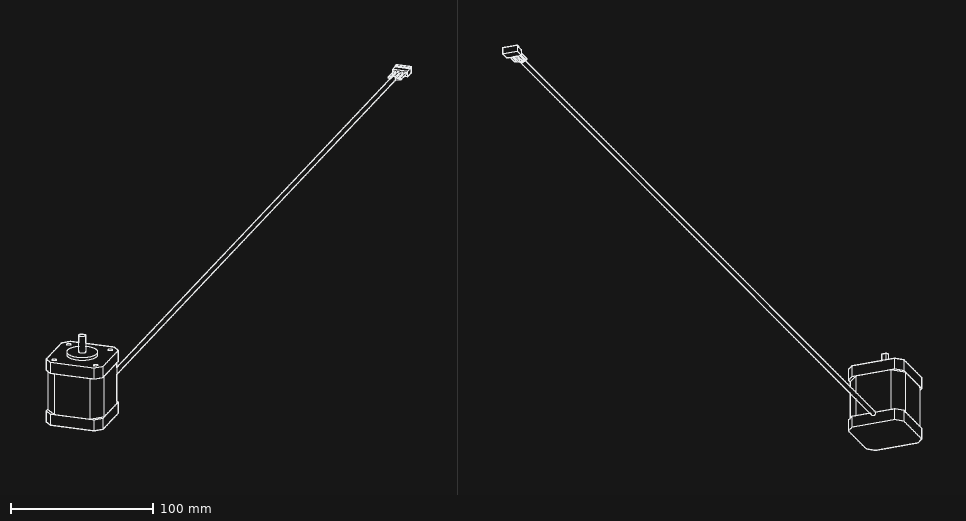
import cadquery as cq

TOTAL_LENGTH = 700.0
TOTAL_HEIGHT = 62.0

HOLE_SPACING = 31.0
HOLE_TO_SIDE = 5.75
HOLE_DIAMETER = 3.0
HOLE_DEPTH = 4.0
CAP_SIDE = HOLE_SPACING + 2 * HOLE_TO_SIDE
CAP_CHAMFER = 5.0
CAP_THICKNESS = 8.5
CORE_SIDE = 42.0
CORE_CHAMFER = 8.0
BODY_HEIGHT = 47.5
CORE_HEIGHT = BODY_HEIGHT - 2 * CAP_THICKNESS
PILOT_DIAMETER = 22.0
PILOT_HEIGHT = 2.0
PILOT_TOP = BODY_HEIGHT + PILOT_HEIGHT
SHAFT_DIAMETER = 5.0
SHAFT_FLAT_DEPTH = 0.5

PLUG_WIDTH = 11.0
PLUG_LENGTH = 8.0
PLUG_THICKNESS = 5.0
PLUG_CENTER_Z = 7.0
STEP_FROM_END = 3.0
STEP_DEPTH = 1.0
PLUG_END = TOTAL_LENGTH - CAP_SIDE / 2
PLUG_START = PLUG_END - PLUG_LENGTH

WIRE_COUNT = 4
WIRE_DIAMETER = 1.5
WIRE_PITCH = 3.0
WIRE_STRAIGHT_LENGTH = 11.0
WIRE_TAPER_LENGTH = 3.0
WIRE_OVERLAP = 1.5
BEND_Y = PLUG_START - WIRE_STRAIGHT_LENGTH

CABLE_DIAMETER = 3.5
CABLE_CENTER_Z = 8.0
CABLE_START = CAP_SIDE / 2
CABLE_END = BEND_Y - WIRE_TAPER_LENGTH


def upright_disc(diameter, bottom, top):
    """Round disc or rod on the motor axis."""
    return cq.Workplane("XY").workplane(offset=bottom).circle(diameter / 2).extrude(top - bottom)


def chamfered_block(side, chamfer, height, bottom):
    """Square block with its four upright edges chamfered."""
    block = cq.Workplane("XY").workplane(offset=bottom).rect(side, side).extrude(height)
    return block.edges("|Z").chamfer(chamfer)


def make_shaft():
    """Output shaft with a flat on its +Y side above the pilot boss."""
    shaft = upright_disc(SHAFT_DIAMETER, BODY_HEIGHT, TOTAL_HEIGHT)
    flat_cutter = (
        cq.Workplane("XY")
        .workplane(offset=PILOT_TOP)
        .center(0, SHAFT_DIAMETER - SHAFT_FLAT_DEPTH)
        .rect(SHAFT_DIAMETER, SHAFT_DIAMETER)
        .extrude(TOTAL_HEIGHT - PILOT_TOP)
    )
    return shaft.cut(flat_cutter)


def make_mounting_holes():
    """Four blind holes from the top face, as a tool to cut with."""
    return (
        cq.Workplane("XY")
        .workplane(offset=BODY_HEIGHT)
        .rect(HOLE_SPACING, HOLE_SPACING, forConstruction=True)
        .vertices()
        .circle(HOLE_DIAMETER / 2)
        .extrude(-HOLE_DEPTH)
    )


def make_motor():
    """Two square caps around a slightly narrower core, with a pilot boss and a shaft on top."""
    motor = chamfered_block(CORE_SIDE, CORE_CHAMFER, CORE_HEIGHT, CAP_THICKNESS)
    for cap_bottom in (0, BODY_HEIGHT - CAP_THICKNESS):
        motor = motor.union(chamfered_block(CAP_SIDE, CAP_CHAMFER, CAP_THICKNESS, cap_bottom))
    motor = motor.union(upright_disc(PILOT_DIAMETER, BODY_HEIGHT, PILOT_TOP))
    return motor.union(make_shaft()).cut(make_mounting_holes())


def make_plug():
    """Flat block whose upper face steps down on the cable side."""
    bottom = PLUG_CENTER_Z - PLUG_THICKNESS / 2
    top = PLUG_CENTER_Z + PLUG_THICKNESS / 2
    step_y = PLUG_END - STEP_FROM_END
    side_outline = [
        (PLUG_START, bottom),
        (PLUG_END, bottom),
        (PLUG_END, top),
        (step_y, top),
        (step_y, top - STEP_DEPTH),
        (PLUG_START, top - STEP_DEPTH),
    ]
    return cq.Workplane("YZ").polyline(side_outline).close().extrude(PLUG_WIDTH / 2, both=True)


def make_wire(x):
    """Wire that leaves the plug straight at the given X and then bends into the cable."""
    route = cq.Workplane("XY").polyline(
        [
            (x, PLUG_START + WIRE_OVERLAP, PLUG_CENTER_Z),
            (x, BEND_Y, PLUG_CENTER_Z),
            (0, CABLE_END - WIRE_OVERLAP, CABLE_CENTER_Z),
        ]
    )
    section = cq.Workplane("XZ", origin=(x, PLUG_START + WIRE_OVERLAP, PLUG_CENTER_Z))
    return section.circle(WIRE_DIAMETER / 2).sweep(route, transition="right")


def make_cable():
    """Round cable from the motor's +Y side, with its wires and plug."""
    cable = (
        cq.Workplane("XZ", origin=(0, CABLE_START, CABLE_CENTER_Z))
        .circle(CABLE_DIAMETER / 2)
        .extrude(CABLE_START - CABLE_END)
    )
    cable = cable.union(make_plug())
    for number in range(WIRE_COUNT):
        cable = cable.union(make_wire((number - (WIRE_COUNT - 1) / 2) * WIRE_PITCH))
    return cable


motor = make_motor()
cable = make_cable()
result = cq.Compound.makeCompound([motor.solids().val(), cable.solids().val()])